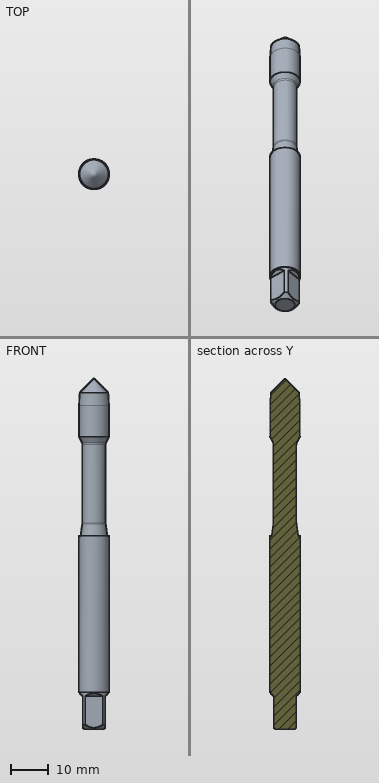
import cadquery as cq
import math

length = 93.6

tip_diameter = 7.7
head_diameter = 8.0
neck_diameter = 6.3
shoulder_diameter = 7.2
shank_diameter = 8.1
drive_diameter = 7.7

tip_base_z = length - tip_diameter / 2
head_taper_z = 86.4
head_bottom_z = 77.9
shoulder_top_z = 54.9
shoulder_bottom_z = 51.55
shank_bottom_z = 9.9

head_back_angle = 27.0
head_blend_radius = 1.1
shoulder_blend_radius = 1.9

across_flats = 6.1
flat_top_z = 8.8
end_chamfer = 1.2


def neck_blend(corner_z, angle, radius, direction):
    """Neck end, middle and cone end of an arc tangent to the neck and to a cone.

    The neck and cone lines meet at corner_z. The cone widens at the given angle
    from the axis, upward for direction 1 and downward for direction -1.
    """
    neck_radius = neck_diameter / 2
    reach = radius * math.tan(angle / 2)
    neck_end_z = corner_z - direction * reach

    def arc_point(turn):
        r = neck_radius + radius * (1 - math.cos(turn))
        z = neck_end_z + direction * radius * math.sin(turn)
        return (r, z)

    return arc_point(0), arc_point(angle / 2), arc_point(angle)


def turned_body():
    """Revolve the stepped profile about Z."""
    neck_radius = neck_diameter / 2
    head_radius = head_diameter / 2
    back_angle = math.radians(head_back_angle)
    back_length = (head_radius - neck_radius) / math.tan(back_angle)
    neck_top_z = head_bottom_z - back_length

    shoulder_angle = math.atan2(shoulder_diameter / 2 - neck_radius, shoulder_top_z - shoulder_bottom_z)
    neck_start, shoulder_middle, shoulder_end = neck_blend(
        shoulder_top_z, shoulder_angle, shoulder_blend_radius, -1
    )
    neck_end, head_middle, head_end = neck_blend(neck_top_z, back_angle, head_blend_radius, 1)

    drive_radius = drive_diameter / 2
    shank_radius = shank_diameter / 2
    return (
        cq.Workplane("XZ")
        .moveTo(0, 0)
        .lineTo(drive_radius - end_chamfer, 0)
        .lineTo(drive_radius, end_chamfer)
        .lineTo(drive_radius, shank_bottom_z)
        .lineTo(shank_radius, shank_bottom_z)
        .lineTo(shank_radius, shoulder_bottom_z)
        .lineTo(shoulder_diameter / 2, shoulder_bottom_z)
        .lineTo(*shoulder_end)
        .threePointArc(shoulder_middle, neck_start)
        .lineTo(*neck_end)
        .threePointArc(head_middle, head_end)
        .lineTo(head_radius, head_bottom_z)
        .lineTo(head_radius, head_taper_z)
        .lineTo(tip_diameter / 2, tip_base_z)
        .lineTo(0, length)
        .close()
        .revolve(360, (0, 0, 0), (0, 1, 0))
    )


def flat_cutter():
    """Tool for the flat on +X, with a 45 degree run-out at its top."""
    flat_x = across_flats / 2
    outer_x = shank_diameter
    return (
        cq.Workplane("XZ")
        .moveTo(flat_x, 0)
        .lineTo(outer_x, 0)
        .lineTo(outer_x, flat_top_z + outer_x - flat_x)
        .lineTo(flat_x, flat_top_z)
        .close()
        .extrude(shank_diameter, both=True)
    )


result = turned_body()
for turn in (0, 90, 180, 270):
    result = result.cut(flat_cutter().rotate((0, 0, 0), (0, 0, 1), turn))